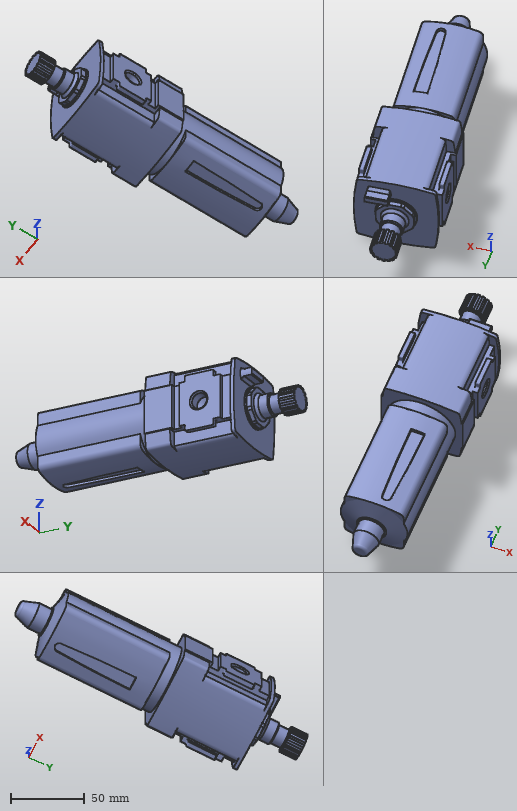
import cadquery as cq
import math


HOUSING_APEX = 29.8
HOUSING_CORNER = 27.5
HOUSING_CORNER_RADIUS = 2.5
FLANGE_REAR = 68.7
FLANGE_FRONT = 65.9
COLLAR_REAR = 19.0

CORE_WALL_APEX = 23.0
CORE_WALL_TOP = 22.0
CORE_CORNER = 22.8
CORE_CORNER_RADIUS = 4.3

PAD_FACE = 30.02
PAD_FLOOR = 26.5
PAD_HALF_HEIGHT = 16.0
PAD_REAR = 58.3
PAD_FRONT = 26.9
PAD_SLOT_FRONT = 21.0
TAB_HALF_HEIGHT = 20.5
TAB_REAR = 53.0
TAB_FRONT = 31.2
TAB_CORNER_RADIUS = 0.9

PORT_Y = 41.8
PORT_DIAMETER = 11.5
PORT_MOUTH_DIAMETER = 13.9
PORT_MOUTH_DEPTH = 1.0
PORT_DEPTH = 8.7
PORT_POINT_DEPTH = 3.3

STEM_X = -0.33
NUT_SEAT_DIAMETER = 29.5
NUT_FRONT = 70.0
NUT_REAR = 73.5
NUT_DIAMETER = 28.0
NUT_ACROSS_FLATS = 26.7
NUT_SIDES = 8
STEM_FLARE_DIAMETER = 20.0
STEM_COLLAR_DIAMETER = 16.5
STEM_FLARE_REAR = 75.9
STEM_COLLAR_REAR = 83.7
STEM_COLLAR_CHAMFER = 0.9
STEM_DIAMETER = 13.9
KNOB_STEP_DIAMETER = 14.5
KNOB_STEP_FRONT = 91.2
KNOB_FRONT = 92.1
KNOB_REAR = 104.3
KNOB_DIAMETER = 19.0
GROOVE_COUNT = 16
GROOVE_WIDTH = 1.7
GROOVE_DEPTH = 1.0

BUTTON_LEFT = 3.5
BUTTON_RIGHT = 20.2
BUTTON_Z = 18.6
BUTTON_HEIGHT = 5.5
BUTTON_END_BULGE = 1.0
BUTTON_CHAMFER = 0.7
BUTTON_REAR = 77.5
BUTTON_FLARE_REAR = 71.5
BUTTON_FLARE = 1.5

BOWL_DIAMETER = 49.2
BOWL_FRONT = -86.7
BOWL_CONE_FRONT = -90.8
GUARD_REAR = -7.5
GUARD_HALF_WIDTH = 21.78
GUARD_CORNER_Z = 21.5
GUARD_CORNER_RADIUS = 4.5

WINDOW_X = 5.9
WINDOW_REAR = -21.7
WINDOW_FRONT = -81.3
WINDOW_REAR_WIDTH = 10.0
WINDOW_FRONT_WIDTH = 6.5
WINDOW_SIDE_BOW = 0.5
WINDOW_FLOOR_Z = 21.9

NIPPLE_DIAMETER = 18.9
SHOULDER_DIAMETER = 21.7
SHOULDER_FRONT = -91.5
NIPPLE_TAPER_REAR = -101.0
NIPPLE_TAPER_FRONT = -110.3
NIPPLE_FRONT = -112.5
NIPPLE_TIP_DIAMETER = 12.4
NIPPLE_FACE_DIAMETER = 7.8


def section_at(y):
    """XZ work plane at the given Y, whose positive extrusion runs toward -Y."""
    return cq.Workplane("XZ", origin=(0, y, 0))


def cylinder(diameter, y_rear, y_front):
    return section_at(y_rear).circle(diameter / 2).extrude(y_rear - y_front)


def bulged_prism(apex_x, corner_x, apex_z, corner_z, corner_radius, y_rear, y_front):
    """Rectangle along Y, with each face bulging from its corners out to its apex.

    A face whose apex is no farther out than its corners is flat, and a zero radius leaves sharp corners.
    """
    outline = section_at(y_rear).moveTo(corner_x, corner_z)
    if apex_z > corner_z:
        outline = outline.threePointArc((0, apex_z), (-corner_x, corner_z))
    else:
        outline = outline.lineTo(-corner_x, corner_z)
    if apex_x > corner_x:
        outline = outline.threePointArc((-apex_x, 0), (-corner_x, -corner_z))
    else:
        outline = outline.lineTo(-corner_x, -corner_z)
    if apex_z > corner_z:
        outline = outline.threePointArc((0, -apex_z), (corner_x, -corner_z))
    else:
        outline = outline.lineTo(corner_x, -corner_z)
    if apex_x > corner_x:
        outline = outline.threePointArc((apex_x, 0), (corner_x, corner_z))
    prism = outline.close().extrude(y_rear - y_front)
    return prism.edges("|Y").fillet(corner_radius) if corner_radius else prism


def block(x_range, y_range, z_range):
    sizes = [high - low for low, high in (x_range, y_range, z_range)]
    corner = (x_range[0], y_range[0], z_range[0])
    return cq.Workplane("XY", origin=corner).box(*sizes, centered=False)


def housing_top(x):
    """Height of the bulged top face at the given X."""
    rise = HOUSING_APEX - HOUSING_CORNER
    bulge_radius = (HOUSING_CORNER**2 + rise**2) / (2 * rise)
    return HOUSING_APEX - bulge_radius + math.sqrt(bulge_radius**2 - x**2)


def housing_shell():
    """Collar and flange of full section, joined by a core that is cut back at the sides."""
    def full_section(y_rear, y_front):
        return bulged_prism(HOUSING_APEX, HOUSING_CORNER, HOUSING_APEX, HOUSING_CORNER,
                            HOUSING_CORNER_RADIUS, y_rear, y_front)

    rounded_core = bulged_prism(CORE_CORNER, CORE_CORNER, HOUSING_APEX, housing_top(CORE_CORNER),
                                CORE_CORNER_RADIUS, FLANGE_FRONT, COLLAR_REAR)
    side_walls = bulged_prism(CORE_WALL_APEX, CORE_WALL_TOP, HOUSING_APEX, HOUSING_APEX,
                              0, FLANGE_FRONT, COLLAR_REAR)
    core = rounded_core.intersect(side_walls)
    return core.union(full_section(FLANGE_REAR, FLANGE_FRONT)).union(full_section(COLLAR_REAR, 0))


def port_pad():
    """Pad on the +X side: a raised plate whose wider tabs overhang the floor edges."""
    z_range = (-PAD_HALF_HEIGHT, PAD_HALF_HEIGHT)
    floor = block((0, PAD_FLOOR), (0, FLANGE_FRONT), z_range)
    plate = block((PAD_FLOOR, PAD_FACE), (PAD_FRONT, PAD_REAR), z_range)
    front_strip = block((PAD_FLOOR, PAD_FACE), (0, PAD_SLOT_FRONT), z_range)
    tab = block((PAD_FLOOR, PAD_FACE), (TAB_FRONT, TAB_REAR), (-TAB_HALF_HEIGHT, TAB_HALF_HEIGHT))
    margin = TAB_CORNER_RADIUS
    tab_corners = cq.selectors.BoxSelector(
        (PAD_FLOOR, TAB_FRONT - margin, -TAB_HALF_HEIGHT - margin),
        (PAD_FACE, TAB_REAR + margin, TAB_HALF_HEIGHT + margin),
    )
    tabbed_plate = plate.union(tab).edges("|X").edges(tab_corners).fillet(TAB_CORNER_RADIUS)
    return floor.union(front_strip).union(tabbed_plate)


def port_hole():
    """Drilled port on the +X side with a chamfered mouth and a conical bottom."""
    mouth_radius = PORT_MOUTH_DIAMETER / 2
    radius = PORT_DIAMETER / 2
    profile = [
        (PAD_FACE, PORT_Y),
        (PAD_FACE, PORT_Y + mouth_radius),
        (PAD_FACE - PORT_MOUTH_DEPTH, PORT_Y + radius),
        (PAD_FACE - PORT_DEPTH, PORT_Y + radius),
        (PAD_FACE - PORT_DEPTH - PORT_POINT_DEPTH, PORT_Y),
    ]
    return cq.Workplane("XY").polyline(profile).close().revolve(360, (0, PORT_Y), (1, PORT_Y))


def stem():
    """Turned stem from the flared collar at the nut to the step under the knob."""
    flare_radius = STEM_FLARE_DIAMETER / 2
    collar_radius = STEM_COLLAR_DIAMETER / 2
    profile = [
        (0, NUT_REAR),
        (flare_radius, NUT_REAR),
        (collar_radius, STEM_FLARE_REAR),
        (collar_radius, STEM_COLLAR_REAR - STEM_COLLAR_CHAMFER),
        (collar_radius - STEM_COLLAR_CHAMFER, STEM_COLLAR_REAR),
        (STEM_DIAMETER / 2, STEM_COLLAR_REAR),
        (STEM_DIAMETER / 2, KNOB_STEP_FRONT),
        (KNOB_STEP_DIAMETER / 2, KNOB_STEP_FRONT),
        (KNOB_STEP_DIAMETER / 2, KNOB_FRONT),
        (0, KNOB_FRONT),
    ]
    return cq.Workplane("XY").polyline(profile).close().revolve(360, (0, 0), (0, 1))


def nut():
    """Octagon with its corners turned off, on a round seat."""
    across_corners = NUT_ACROSS_FLATS / math.cos(math.pi / NUT_SIDES)
    octagon = section_at(NUT_REAR).polygon(NUT_SIDES, across_corners).extrude(NUT_REAR - NUT_FRONT)
    octagon = octagon.rotate((0, 0, 0), (0, 1, 0), 180 / NUT_SIDES)
    turned = octagon.intersect(cylinder(NUT_DIAMETER, NUT_REAR, NUT_FRONT))
    return turned.union(cylinder(NUT_SEAT_DIAMETER, NUT_FRONT, FLANGE_REAR))


def knob():
    """Knob with straight, square grooves around its rim."""
    grooves = (
        section_at(KNOB_REAR)
        .polarArray(KNOB_DIAMETER / 2, 180 / GROOVE_COUNT, 360, GROOVE_COUNT)
        .rect(2 * GROOVE_DEPTH, GROOVE_WIDTH)
        .extrude(KNOB_REAR - KNOB_FRONT)
    )
    return cylinder(KNOB_DIAMETER, KNOB_REAR, KNOB_FRONT).cut(grooves)


def filler_button():
    """Flat button with bowed ends that flares where it meets the flange."""
    half_height = BUTTON_HEIGHT / 2
    low = BUTTON_Z - half_height
    high = BUTTON_Z + half_height
    side_profile = [
        (BUTTON_REAR, low),
        (BUTTON_REAR, high),
        (BUTTON_FLARE_REAR, high),
        (FLANGE_REAR, high + BUTTON_FLARE),
        (FLANGE_REAR, low - BUTTON_FLARE),
        (BUTTON_FLARE_REAR, low),
    ]
    flared_bar = cq.Workplane("YZ").polyline(side_profile).close().extrude(BUTTON_RIGHT)
    plan_low = low - BUTTON_FLARE
    plan_high = high + BUTTON_FLARE
    ends = (
        section_at(BUTTON_REAR)
        .moveTo(BUTTON_LEFT + BUTTON_END_BULGE, plan_low)
        .threePointArc((BUTTON_LEFT, BUTTON_Z), (BUTTON_LEFT + BUTTON_END_BULGE, plan_high))
        .lineTo(BUTTON_RIGHT - BUTTON_END_BULGE, plan_high)
        .threePointArc((BUTTON_RIGHT, BUTTON_Z), (BUTTON_RIGHT - BUTTON_END_BULGE, plan_low))
        .close()
        .extrude(BUTTON_REAR - FLANGE_REAR)
    )
    return flared_bar.intersect(ends).edges("|X and >Y").chamfer(BUTTON_CHAMFER)


def make_housing():
    half_turn = ((0, 0, 0), (0, 1, 0), 180)
    body = housing_shell()
    for pad in (port_pad(), port_pad().rotate(*half_turn)):
        body = body.union(pad)
    for hole in (port_hole(), port_hole().rotate(*half_turn)):
        body = body.cut(hole)
    for stem_part in (nut(), stem(), knob()):
        body = body.union(stem_part.translate((STEM_X, 0, 0)))
    return body.union(filler_button())


def bowl_shell():
    """Round bowl with a conical front and a small shoulder, inside a squarish guard."""
    radius = BOWL_DIAMETER / 2
    shoulder_radius = SHOULDER_DIAMETER / 2
    profile = [
        (0, 0),
        (radius, 0),
        (radius, BOWL_FRONT),
        (shoulder_radius, BOWL_CONE_FRONT),
        (shoulder_radius, SHOULDER_FRONT),
        (0, SHOULDER_FRONT),
    ]
    turned = cq.Workplane("XY").polyline(profile).close().revolve(360, (0, 0), (0, 1))
    guard = bulged_prism(GUARD_HALF_WIDTH, GUARD_HALF_WIDTH, radius, GUARD_CORNER_Z,
                         GUARD_CORNER_RADIUS, GUARD_REAR, BOWL_FRONT)
    return turned.union(guard)


def window_recess():
    """Tapered recess in the top face, with bowed sides and a round front end."""
    rear_half = WINDOW_REAR_WIDTH / 2
    front_half = WINDOW_FRONT_WIDTH / 2
    arc_start = WINDOW_FRONT + front_half
    middle_half = (rear_half + front_half) / 2 + WINDOW_SIDE_BOW
    middle_y = (WINDOW_REAR + arc_start) / 2
    return (
        cq.Workplane("XY", origin=(WINDOW_X, 0, WINDOW_FLOOR_Z))
        .moveTo(-rear_half, WINDOW_REAR)
        .lineTo(rear_half, WINDOW_REAR)
        .threePointArc((middle_half, middle_y), (front_half, arc_start))
        .threePointArc((0, WINDOW_FRONT), (-front_half, arc_start))
        .threePointArc((-middle_half, middle_y), (-rear_half, WINDOW_REAR))
        .close()
        .extrude(BOWL_DIAMETER / 2)
    )


def nipple():
    """Drain nipple with a tapered end and a rounded tip."""
    radius = NIPPLE_DIAMETER / 2
    tip_radius = NIPPLE_TIP_DIAMETER / 2
    face_radius = NIPPLE_FACE_DIAMETER / 2
    rounding = NIPPLE_TAPER_FRONT - NIPPLE_FRONT
    arc_middle = (
        face_radius + (tip_radius - face_radius) * math.sin(math.pi / 4),
        NIPPLE_TAPER_FRONT - rounding * math.sin(math.pi / 4),
    )
    return (
        cq.Workplane("XY")
        .moveTo(0, SHOULDER_FRONT)
        .lineTo(radius, SHOULDER_FRONT)
        .lineTo(radius, NIPPLE_TAPER_REAR)
        .lineTo(tip_radius, NIPPLE_TAPER_FRONT)
        .threePointArc(arc_middle, (face_radius, NIPPLE_FRONT))
        .lineTo(0, NIPPLE_FRONT)
        .close()
        .revolve(360, (0, 0), (0, 1))
    )


def make_bowl():
    top_window = window_recess()
    bottom_window = window_recess().rotate((0, 0, 0), (0, 1, 0), 180)
    return bowl_shell().cut(top_window).cut(bottom_window).union(nipple())


housing = make_housing()
bowl = make_bowl()
result = cq.Compound.makeCompound([housing.val(), bowl.val()])